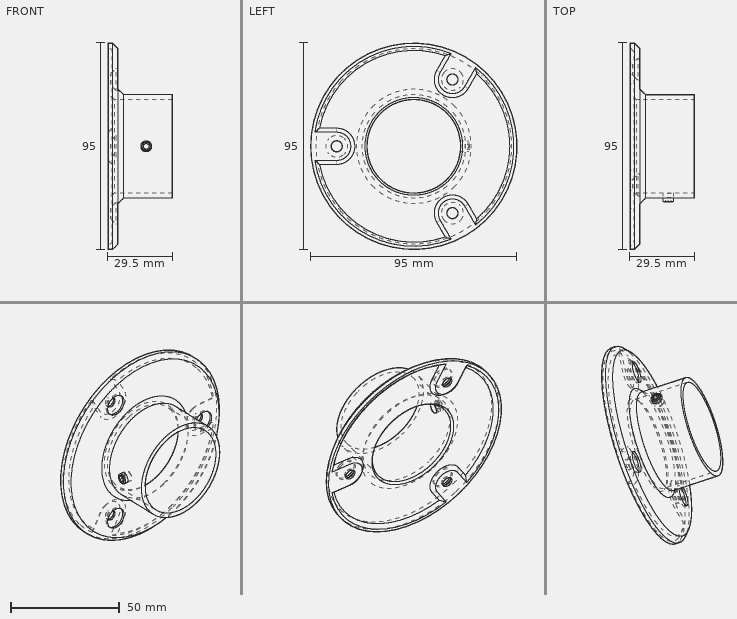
import cadquery as cq
import math


flange_radius = 47.5
flange_rim_width = 2.0
flange_thickness = 4.5
flange_back_bevel = flange_thickness - flange_rim_width

hub_radius = 23.85
hub_root_bevel_length = 2.6
hub_root_bevel_width = 2.5
overall_length = 29.5
bore_radius = 21.5
bore_chamfer = 1.0

rim_land = 1.5
recess_depth = 1.85
recess_mouth_radius = flange_radius - rim_land
recess_wall_run = recess_depth
recess_floor_radius = recess_mouth_radius - recess_wall_run

pad_count = 3
pad_circle_radius = 35.5
pad_top_radius = 6.5
pad_hole_radius = 2.5
screw_head_radius = 5.0
countersink_start = 1.0
countersink_end = countersink_start + screw_head_radius - pad_hole_radius

screw_x = 17.5
screw_radius = 2.5
screw_length = 4.0
screw_protrusion = 1.75
screw_chamfer_length = 0.35
screw_chamfer_width = 0.6
socket_across_flats = 2.5
socket_depth = 2.0
screw_outer_y = -(hub_radius + screw_protrusion)


def revolve_about_x(points):
    """Turn a closed (x, radius) outline about the X axis."""
    return cq.Workplane("XY").polyline(points).close().revolve(360, (0, 0, 0), (1, 0, 0))


def make_blank():
    """Flange and hub with the bore still filled."""
    return revolve_about_x([
        (0, 0),
        (0, flange_radius),
        (flange_rim_width, flange_radius),
        (flange_thickness, flange_radius - flange_back_bevel),
        (flange_thickness, hub_radius + hub_root_bevel_width),
        (flange_thickness + hub_root_bevel_length, hub_radius),
        (overall_length, hub_radius),
        (overall_length, 0),
    ])


def make_pad():
    """Round-ended pad with 45 degree sides, running outward past the recess wall along +Y."""
    reach = flange_radius - pad_circle_radius
    outline = (
        cq.Workplane("YZ", origin=(0, pad_circle_radius, 0))
        .moveTo(reach, pad_top_radius)
        .lineTo(0, pad_top_radius)
        .threePointArc((-pad_top_radius, 0), (0, -pad_top_radius))
        .lineTo(reach, -pad_top_radius)
        .close()
    )
    taper_angle = -math.degrees(math.atan2(recess_wall_run, recess_depth))
    return outline.extrude(recess_depth, taper=taper_angle)


def make_recess():
    """Tapered recess with the mounting pads left out of it."""
    recess = revolve_about_x([
        (0, 0),
        (0, recess_mouth_radius),
        (recess_depth, recess_floor_radius),
        (recess_depth, 0),
    ])
    pad = make_pad()
    for index in range(pad_count):
        recess = recess.cut(pad.rotate((0, 0, 0), (1, 0, 0), index * 360 / pad_count))
    return recess


def make_bore():
    """Through bore, chamfered where it meets the recess floor."""
    return revolve_about_x([
        (0, 0),
        (0, bore_radius + bore_chamfer),
        (recess_depth, bore_radius + bore_chamfer),
        (recess_depth + bore_chamfer, bore_radius),
        (overall_length, bore_radius),
        (overall_length, 0),
    ])


def make_pad_holes():
    """Through holes with a 90 degree countersink and head recess on the hub side of the flange."""
    hole = revolve_about_x([
        (0, 0),
        (0, pad_hole_radius),
        (countersink_start, pad_hole_radius),
        (countersink_end, screw_head_radius),
        (flange_thickness, screw_head_radius),
        (flange_thickness, 0),
    ]).translate((0, pad_circle_radius, 0))
    holes = cq.Workplane()
    for index in range(pad_count):
        holes = holes.add(hole.rotate((0, 0, 0), (1, 0, 0), index * 360 / pad_count))
    return holes.combine()


def make_screw_hole():
    """Radial hole through the hub wall on the -Y side."""
    return (
        cq.Workplane("XZ", origin=(screw_x, 0, 0))
        .circle(screw_radius)
        .extrude(hub_radius)
    )


def make_flanged_hub():
    return (
        make_blank()
        .cut(make_recess())
        .cut(make_bore())
        .cut(make_pad_holes())
        .cut(make_screw_hole())
    )


def make_set_screw():
    """Set screw with a chamfered outer end and a hex socket, flats facing up and down."""
    tip_radius = screw_radius - screw_chamfer_width
    shank = (
        cq.Workplane("XY")
        .polyline([
            (0, screw_length),
            (screw_radius, screw_length),
            (screw_radius, screw_chamfer_length),
            (tip_radius, 0),
            (0, 0),
        ])
        .close()
        .revolve(360, (0, 0, 0), (0, 1, 0))
        .translate((screw_x, screw_outer_y, 0))
    )
    socket = (
        cq.Workplane("XZ", origin=(screw_x, screw_outer_y + socket_depth, 0))
        .polygon(6, socket_across_flats, circumscribed=True)
        .extrude(socket_depth)
    )
    return shank.cut(socket)


flanged_hub = make_flanged_hub()
set_screw = make_set_screw()

result = cq.Compound.makeCompound([flanged_hub.val(), set_screw.val()])